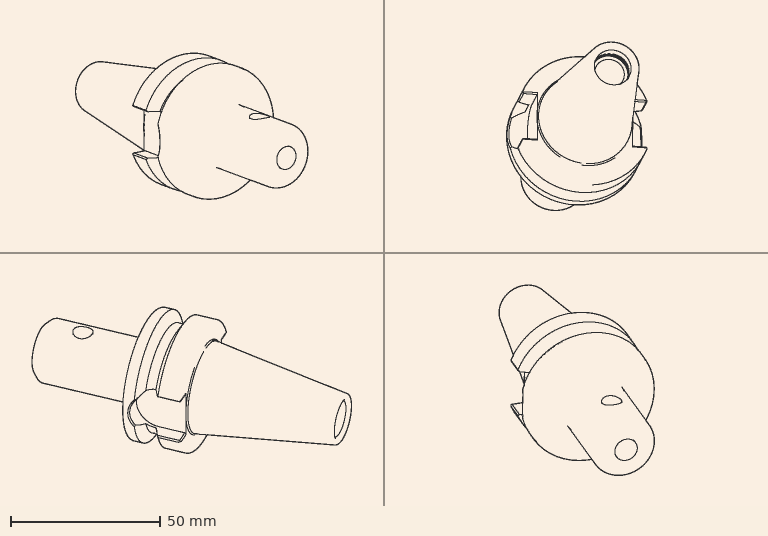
import cadquery as cq
import math


TOTAL_LENGTH = 108.74
TAPER_LENGTH = 48.4
GAUGE_DIAMETER = 31.75
TAPER_RATE = 7 / 24
TAPER_TIP_FILLET = 0.9
TAPER_END_X = 0.5

FLANGE_DIAMETER = 46.0
FLANGE_FRONT_X = 1.5
FLANGE_REAR_X = 22.0
FLANGE_EDGE_FILLET = 1.0
FLANGE_ROOT_FILLET = 0.5
GROOVE_CENTRE_X = 13.7
GROOVE_BOTTOM_DIAMETER = 38.0
GROOVE_BOTTOM_WIDTH = 3.5
GROOVE_FLANK_ANGLE = 60.0

SLOT_WIDTH = 16.1
SLOT_FLOOR_FROM_AXIS = 16.2
SLOT_ARC_CENTRE_X = 11.3
SLOT_CHAMFER = 0.5

SHANK_DIAMETER = 22.35
SHANK_ROOT_FILLET = 5.0
SHANK_NOSE_CHAMFER = 2.9
SHANK_NOSE_FILLET = 2.2

CROSS_HOLE_DIAMETER = 6.78
CROSS_HOLE_FROM_END = 15.3

MOUTH_FILLET = 1.5
MOUTH_CONE_DIAMETER = 13.1
MOUTH_CONE_ANGLE = 30.0
PILOT_DIAMETER = 12.5
RELIEF_DIAMETER = 13.1
THREAD_DIAMETER = 10.11
THROUGH_DIAMETER = 7.94
RELIEF_START_DEPTH = 5.2
RELIEF_END_DEPTH = 6.2
PILOT_DEPTH = 6.9
THREAD_END_DEPTH = 30.0
DRILL_POINT_ANGLE = 59.0

TIP_X = -TAPER_LENGTH
END_X = TIP_X + TOTAL_LENGTH
GAUGE_RADIUS = GAUGE_DIAMETER / 2
FLANGE_RADIUS = FLANGE_DIAMETER / 2
SHANK_RADIUS = SHANK_DIAMETER / 2
SLOT_HALF_WIDTH = SLOT_WIDTH / 2


def taper_radius(x):
    return GAUGE_RADIUS + x * TAPER_RATE / 2


def make_body():
    """Taper, grooved flange and shank as one turned body."""
    groove_bottom = GROOVE_BOTTOM_DIAMETER / 2
    half_bottom = GROOVE_BOTTOM_WIDTH / 2
    groove_depth = FLANGE_RADIUS - groove_bottom
    half_top = half_bottom + groove_depth / math.tan(math.radians(GROOVE_FLANK_ANGLE))
    outline = [
        (TIP_X, 0),
        (TIP_X, taper_radius(TIP_X)),
        (TAPER_END_X, taper_radius(TAPER_END_X)),
        (FLANGE_FRONT_X, taper_radius(TAPER_END_X)),
        (FLANGE_FRONT_X, FLANGE_RADIUS),
        (GROOVE_CENTRE_X - half_top, FLANGE_RADIUS),
        (GROOVE_CENTRE_X - half_bottom, groove_bottom),
        (GROOVE_CENTRE_X + half_bottom, groove_bottom),
        (GROOVE_CENTRE_X + half_top, FLANGE_RADIUS),
        (FLANGE_REAR_X, FLANGE_RADIUS),
        (FLANGE_REAR_X, SHANK_RADIUS),
        (END_X - SHANK_NOSE_CHAMFER, SHANK_RADIUS),
        (END_X, SHANK_RADIUS - SHANK_NOSE_CHAMFER),
        (END_X, 0),
    ]
    fillets = [
        (TIP_X, taper_radius(TIP_X), TAPER_TIP_FILLET),
        (FLANGE_FRONT_X, taper_radius(TAPER_END_X), FLANGE_ROOT_FILLET),
        (FLANGE_FRONT_X, FLANGE_RADIUS, FLANGE_EDGE_FILLET),
        (FLANGE_REAR_X, FLANGE_RADIUS, FLANGE_EDGE_FILLET),
        (FLANGE_REAR_X, SHANK_RADIUS, SHANK_ROOT_FILLET),
        (END_X - SHANK_NOSE_CHAMFER, SHANK_RADIUS, SHANK_NOSE_FILLET),
        (END_X, SHANK_RADIUS - SHANK_NOSE_CHAMFER, SHANK_NOSE_FILLET),
    ]
    wire = cq.Wire.makePolygon([cq.Vector(x, radius, 0) for x, radius in outline], close=True)
    face = cq.Face.makeFromWires(wire)
    for x, radius, fillet in fillets:
        corner = min(face.Vertices(), key=lambda v: math.hypot(v.X - x, v.Y - radius))
        face = face.fillet2D(fillet, [corner])
    return cq.Workplane("XY").add(face).toPending().revolve(360, (0, 0, 0), (1, 0, 0))


def make_bore():
    """Stepped bore running from the rounded taper tip to the shank end."""
    cone_radius = MOUTH_CONE_DIAMETER / 2
    pilot_radius = PILOT_DIAMETER / 2
    relief_radius = RELIEF_DIAMETER / 2
    thread_radius = THREAD_DIAMETER / 2
    through_radius = THROUGH_DIAMETER / 2
    point_length = (thread_radius - through_radius) / math.tan(math.radians(DRILL_POINT_ANGLE))

    cone_angle = math.radians(MOUTH_CONE_ANGLE)
    arc_sweep = math.pi / 2 - cone_angle
    lip_radius = cone_radius + MOUTH_FILLET * math.sin(arc_sweep)

    def rounding_point(angle):
        x = TIP_X + MOUTH_FILLET * (1 - math.cos(angle))
        return (x, lip_radius - MOUTH_FILLET * math.sin(angle))

    cone_start = rounding_point(arc_sweep)
    cone_end_x = cone_start[0] + (cone_radius - pilot_radius) / math.tan(cone_angle)
    relief_start_x = TIP_X + RELIEF_START_DEPTH
    relief_end_x = TIP_X + RELIEF_END_DEPTH
    pilot_end_x = TIP_X + PILOT_DEPTH
    thread_end_x = TIP_X + THREAD_END_DEPTH
    return (
        cq.Workplane("XY")
        .moveTo(TIP_X, 0)
        .lineTo(TIP_X, lip_radius)
        .threePointArc(rounding_point(arc_sweep / 2), cone_start)
        .lineTo(cone_end_x, pilot_radius)
        .lineTo(relief_start_x, pilot_radius)
        .lineTo(relief_start_x, relief_radius)
        .lineTo(relief_end_x, relief_radius)
        .lineTo(relief_end_x, pilot_radius)
        .lineTo(pilot_end_x, pilot_radius)
        .lineTo(pilot_end_x, thread_radius)
        .lineTo(thread_end_x, thread_radius)
        .lineTo(thread_end_x + point_length, through_radius)
        .lineTo(END_X, through_radius)
        .lineTo(END_X, 0)
        .close()
        .revolve(360, (0, 0, 0), (1, 0, 0))
    )


def make_slot():
    """Drive slot cutter on the -Y side, with chamfered front and outer edges."""
    radial_height = FLANGE_RADIUS - SLOT_FLOOR_FROM_AXIS
    floor = cq.Workplane("XZ", origin=(0, -SLOT_FLOOR_FROM_AXIS, 0))
    slot = (
        floor.moveTo(FLANGE_FRONT_X, -SLOT_HALF_WIDTH - SLOT_CHAMFER)
        .lineTo(FLANGE_FRONT_X + SLOT_CHAMFER, -SLOT_HALF_WIDTH)
        .lineTo(SLOT_ARC_CENTRE_X, -SLOT_HALF_WIDTH)
        .threePointArc((SLOT_ARC_CENTRE_X + SLOT_HALF_WIDTH, 0), (SLOT_ARC_CENTRE_X, SLOT_HALF_WIDTH))
        .lineTo(FLANGE_FRONT_X + SLOT_CHAMFER, SLOT_HALF_WIDTH)
        .lineTo(FLANGE_FRONT_X, SLOT_HALF_WIDTH + SLOT_CHAMFER)
        .close()
        .extrude(radial_height)
    )
    mouth_half_width = SLOT_HALF_WIDTH + SLOT_CHAMFER
    mouth_y = -math.sqrt(FLANGE_RADIUS**2 - mouth_half_width**2)
    edge_chamfer = (
        cq.Workplane("YZ", origin=(FLANGE_FRONT_X, 0, 0))
        .polyline([
            (-FLANGE_RADIUS, -mouth_half_width),
            (mouth_y, -mouth_half_width),
            (mouth_y + SLOT_CHAMFER, -SLOT_HALF_WIDTH),
            (mouth_y + SLOT_CHAMFER, SLOT_HALF_WIDTH),
            (mouth_y, mouth_half_width),
            (-FLANGE_RADIUS, mouth_half_width),
        ])
        .close()
        .extrude(GROOVE_CENTRE_X - FLANGE_FRONT_X)
    )
    return slot.union(edge_chamfer)


def chamfer_slot_ends(part):
    """Break the curved edges where the slot ends run out through the flange rim."""
    slot_end_x = SLOT_ARC_CENTRE_X + SLOT_HALF_WIDTH
    for side in (-1, 1):
        nearest_to_rim = cq.selectors.NearestToPointSelector((slot_end_x, side * FLANGE_RADIUS, 0))
        part = part.edges("%BSPLINE").edges(nearest_to_rim).chamfer(SLOT_CHAMFER)
    return part


def make_cross_hole():
    """Radial hole from the +Z side of the shank into the axial bore."""
    return (
        cq.Workplane("XY", origin=(END_X - CROSS_HOLE_FROM_END, 0, 0))
        .circle(CROSS_HOLE_DIAMETER / 2)
        .extrude(SHANK_RADIUS)
    )


slot = make_slot()
result = make_body().cut(slot).cut(slot.mirror("XZ"))
result = chamfer_slot_ends(result)
result = result.cut(make_bore()).cut(make_cross_hole())